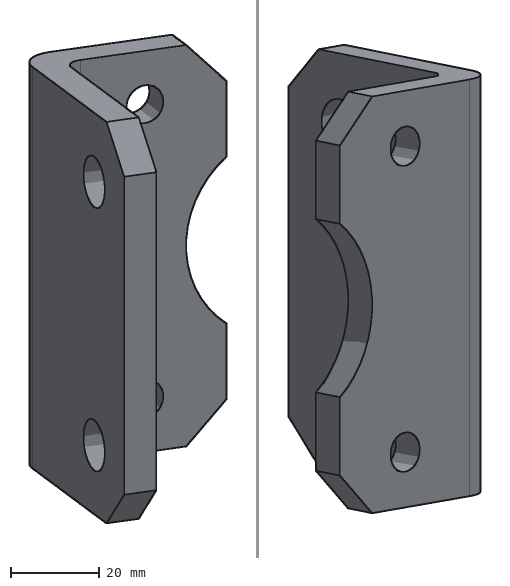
import cadquery as cq

length_x = 60.0
length_y = 48.0
height = 96.0
thickness = 8.0
outer_bend_radius = 8.0
inner_bend_radius = 3.8
corner_chamfer = 10.0

front_hole_diameter = 12.0
front_hole_x = 43.0
front_hole_spacing = 63.0

side_hole_diameter = 9.0
side_hole_y = 27.8
side_hole_spacing = 70.5

notch_depth = 10.0
notch_radius = 25.0


def make_angle():
    """L-shaped bent plate with its outer corner at the origin."""
    profile = (
        cq.Workplane("XY")
        .polyline([
            (0, 0),
            (length_x, 0),
            (length_x, thickness),
            (thickness, thickness),
            (thickness, length_y),
            (0, length_y),
        ])
        .close()
        .extrude(height)
    )
    outer_corner = (0, 0, height / 2)
    bent = profile.edges(cq.selectors.NearestToPointSelector(outer_corner)).fillet(outer_bend_radius)
    inner_corner = (thickness, thickness, height / 2)
    return bent.edges(cq.selectors.NearestToPointSelector(inner_corner)).fillet(inner_bend_radius)


def chamfer_free_corners(body):
    """Cut the top and bottom corners at the free end of each leg."""
    body = body.faces(">X").edges("|Y").chamfer(corner_chamfer)
    return body.faces(">Y").edges("|X").chamfer(corner_chamfer)


def make_hole_pair(plane, across, spacing, diameter, depth):
    """Two cylinders placed symmetrically about mid-height."""
    centers = [(across, height / 2 + side * spacing / 2) for side in (-1, 1)]
    return cq.Workplane(plane).pushPoints(centers).circle(diameter / 2).extrude(depth)


def make_notch():
    """Cylinder whose axis lies beyond the free edge of the leg along Y."""
    center_y = length_y - notch_depth + notch_radius
    return cq.Workplane("YZ").center(center_y, height / 2).circle(notch_radius).extrude(thickness)


front_holes = make_hole_pair("XZ", front_hole_x, front_hole_spacing, front_hole_diameter, -thickness)
side_holes = make_hole_pair("YZ", side_hole_y, side_hole_spacing, side_hole_diameter, thickness)

result = chamfer_free_corners(make_angle()).cut(front_holes).cut(side_holes).cut(make_notch())